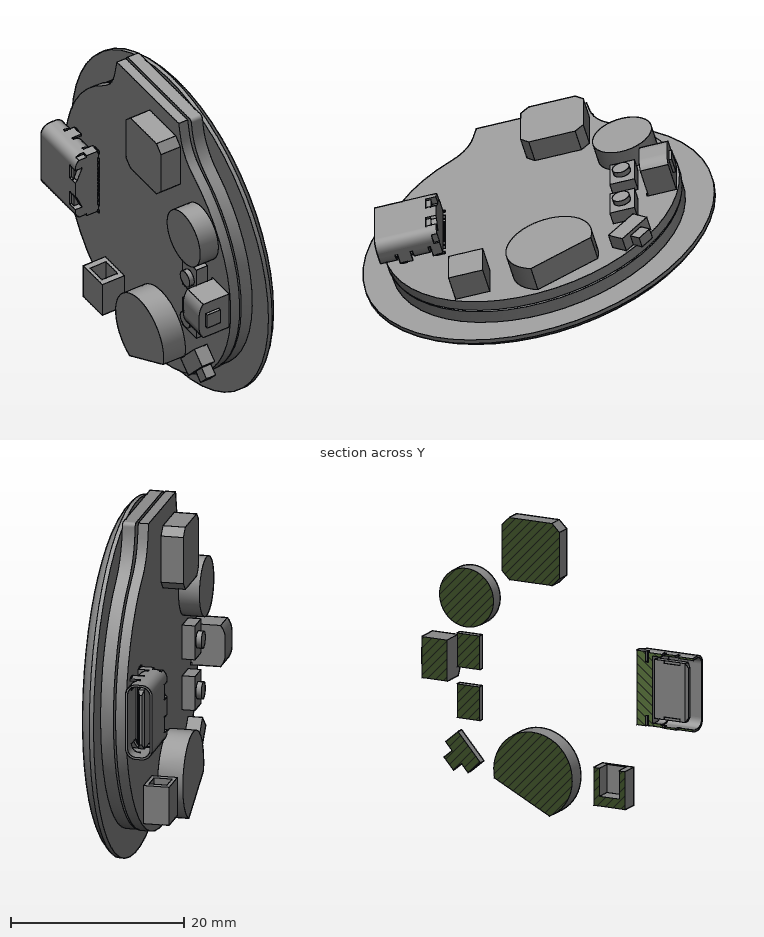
import cadquery as cq
import math


BOARD_THICK = 1.2
BOARD_GAP = 0.3
DISPLAY_THICK = 1.5
GLASS_THICK = 1.98
GLASS_RIM = 0.5
DISPLAY_FRONT = BOARD_THICK + BOARD_GAP
GLASS_FRONT = DISPLAY_FRONT + DISPLAY_THICK

GLASS_RADIUS = 21.05
GLASS_EDGE_WIDTH = 3.2
NECK_TOP = 20.5
DISPLAY_RADIUS = 17.6
DISPLAY_NECK_FILLET = 7.5
DISPLAY_CORNER_RADIUS = 0.5
BOARD_RADIUS = 17.72
BOARD_NECK_FILLET = 5.98
BOARD_NECK_HALF_WIDTH = 6.6
BOARD_FILLET_CENTRE_Z = 19.9
SHORTEST_SIDE = 0.005

CHIP_SIZE = 7.5
CHIP_CHAMFER = 0.95
CHIP_HEIGHT = 2.65
CHIP_CENTRE = (3.2, 14.5)

CAN_RADIUS = 3.55
CAN_HEIGHT = 2.5
CAN_CENTRE = (11.55, 7.87)

BUTTON_WIDTH = 2.95
BUTTON_LENGTH = 4.1
BUTTON_HEIGHT = 1.5
BUTTON_CAP_RADIUS = 1.0
BUTTON_CAP_HEIGHT = 0.65
BUTTON_X = 11.3
BUTTON_ZS = (1.47, -4.65)

BUZZER_RADIUS = 5.15
BUZZER_HEIGHT = 3.0
BUZZER_CENTRE = (2.9, -12.25)
BUZZER_FLAT_DISTANCE = 3.2
BUZZER_FLAT_ANGLE = -63.0

HEADER_WIDTH = 4.1
HEADER_LENGTH = 4.6
HEADER_HEIGHT = 3.05
HEADER_CENTRE = (-7.05, -12.6)
SOCKET_WIDTH = 2.5
SOCKET_HEIGHT = 2.15
SOCKET_DEPTH = 3.35

SWITCH_LENGTH = 4.45
SWITCH_WIDTH = 2.2
SWITCH_HEIGHT = 1.73
SWITCH_CENTRE = (12.0, -10.7)
SWITCH_ANGLE = -41.0
SLIDER_LENGTH = 1.9
SLIDER_REACH = 1.4
SLIDER_HEIGHT = 1.25

JACK_LEFT = 14.0
JACK_RIGHT = 17.35
JACK_HALF_WIDTH = 2.5
JACK_HEIGHT = 4.1
JACK_SIDE_HEIGHT = 3.55
JACK_FLAT_HALF_WIDTH = 0.95
JACK_NOSE_REACH = 0.35
JACK_NOSE_LOW = 1.4
JACK_NOSE_HIGH = 3.2
JACK_FOOT = 0.15
JACK_FOOT_WIDTH = 0.3

USB_FRONT = -17.95
USB_REAR = -10.55
USB_WIDTH = 8.95
USB_HEIGHT = 3.15
USB_CORNER = 1.25
USB_WALL = 0.25
USB_CORE_LENGTH = 2.1
USB_COLLAR_LENGTH = 1.05
USB_COLLAR_WALL = 0.38
TONGUE_SETBACK = 0.93
TONGUE_THICK = 0.7
TONGUE_WIDTH = 7.07
TONGUE_TIP_WIDTH = 5.98
TONGUE_TIP_THICK = 0.3
TONGUE_TIP_LENGTH = 0.35
CORNER_CUTS = ((-16.0, -13.95), (-12.05, USB_REAR))
LEGS = ((-15.7, -14.2, USB_WALL), (-11.75, USB_REAR, USB_CORNER))
FEET = ((-15.45, -14.8), (-11.35, -10.3))
FOOT_THICK = 0.13
FOOT_HEIGHT = 0.1
WINDOW_FRONT = -11.8
WINDOW_RAMP_FRONT = -11.25
WINDOW_INNER = 1.05
WINDOW_OUTER = 2.9
WINDOW_RAMP_DEPTH = 0.93
NOTCH_LOW = 1.6
NOTCH_HIGH = 2.65
SIGNAL_PIN_COUNT = 8
SIGNAL_PIN_PITCH = 0.5
SIGNAL_PIN_WIDTH = 0.25
POWER_PIN_ZS = (-3.2, -2.4, 2.4, 3.2)
POWER_PIN_WIDTH = 0.6
PIN_REACH = 0.3
PIN_HEIGHT = 0.1


def facing(y):
    """Sketch plane at the given Y, looking along -Y: local x is X and local y is Z."""
    return cq.Workplane("XZ", origin=(0, y, 0))


def block(x_range, y_range, z_range):
    """Box between the given limits."""
    x0, x1 = x_range
    y0, y1 = y_range
    z0, z1 = z_range
    return cq.Workplane("XY").box(x1 - x0, y1 - y0, z1 - z0, centered=False).translate((x0, y0, z0))


def polar(radius, degrees):
    angle = math.radians(degrees)
    return radius * math.cos(angle), radius * math.sin(angle)


def shifted(point, offset):
    return point[0] + offset[0], point[1] + offset[1]


def necked_disc(radius, fillet, fillet_centre_z, neck_half_width, front, thickness):
    """Disc with a flat-topped neck that flows into the circle through a concave arc on each side."""
    reach = radius + fillet
    centre = (math.sqrt(reach**2 - fillet_centre_z**2), fillet_centre_z)
    joint = (centre[0] * radius / reach, centre[1] * radius / reach)
    corner = (neck_half_width, NECK_TOP)
    to_corner = (corner[0] - centre[0], corner[1] - centre[1])
    corner_distance = math.hypot(*to_corner)
    tangent_turn = math.acos(min(1.0, fillet / corner_distance))
    start_angle = math.atan2(to_corner[1], to_corner[0]) % (2 * math.pi) + tangent_turn
    end_angle = math.atan2(-centre[1], -centre[0]) % (2 * math.pi)
    start = shifted(centre, polar(fillet, math.degrees(start_angle)))
    middle = shifted(centre, polar(fillet, math.degrees((start_angle + end_angle) / 2)))

    def mirrored(point):
        return -point[0], point[1]

    outline = facing(front + thickness).moveTo(*mirrored(corner)).lineTo(*corner)
    if math.dist(corner, start) > SHORTEST_SIDE:
        outline = outline.lineTo(*start)
    else:
        start = corner
    return (
        outline.threePointArc(middle, joint)
        .threePointArc((0, -radius), mirrored(joint))
        .threePointArc(mirrored(middle), mirrored(start))
        .close()
        .extrude(thickness)
    )


def make_glass():
    """Cover glass: a thin rim and a rounded border that runs into the flat back."""
    drop = GLASS_THICK - GLASS_RIM
    arc_radius = (GLASS_EDGE_WIDTH**2 + drop**2) / (2 * drop)
    half_angle = math.asin(GLASS_EDGE_WIDTH / arc_radius) / 2
    flat_radius = GLASS_RADIUS - GLASS_EDGE_WIDTH
    back = GLASS_FRONT + GLASS_THICK
    arc_middle = (
        flat_radius + arc_radius * math.sin(half_angle),
        back - arc_radius * (1 - math.cos(half_angle)),
    )
    return (
        cq.Workplane("XY")
        .moveTo(0, GLASS_FRONT)
        .lineTo(GLASS_RADIUS, GLASS_FRONT)
        .lineTo(GLASS_RADIUS, GLASS_FRONT + GLASS_RIM)
        .threePointArc(arc_middle, (flat_radius, back))
        .lineTo(0, back)
        .close()
        .revolve(360, (0, 0, 0), (0, 1, 0))
    )


def make_display():
    """Display: the sides of its neck start vertical, and the neck's top corners are rounded."""
    half_width = math.sqrt((DISPLAY_RADIUS + DISPLAY_NECK_FILLET) ** 2 - NECK_TOP**2) - DISPLAY_NECK_FILLET
    disc = necked_disc(
        DISPLAY_RADIUS, DISPLAY_NECK_FILLET, NECK_TOP, half_width, DISPLAY_FRONT, DISPLAY_THICK
    )
    return disc.edges("|Y").edges(">Z").fillet(DISPLAY_CORNER_RADIUS)


def make_chip():
    body = facing(0).center(*CHIP_CENTRE).rect(CHIP_SIZE, CHIP_SIZE).extrude(CHIP_HEIGHT)
    return body.edges("|Y").chamfer(CHIP_CHAMFER)


def make_can():
    return facing(0).center(*CAN_CENTRE).circle(CAN_RADIUS).extrude(CAN_HEIGHT)


def make_button(z):
    body = facing(0).center(BUTTON_X, z).rect(BUTTON_WIDTH, BUTTON_LENGTH).extrude(BUTTON_HEIGHT)
    cap = facing(0).center(BUTTON_X, z).circle(BUTTON_CAP_RADIUS)
    return body.union(cap.extrude(BUTTON_HEIGHT + BUTTON_CAP_HEIGHT))


def make_buzzer():
    """Round buzzer with one flat side."""
    half_chord = math.degrees(math.acos(BUZZER_FLAT_DISTANCE / BUZZER_RADIUS))
    return (
        facing(0)
        .center(*BUZZER_CENTRE)
        .moveTo(*polar(BUZZER_RADIUS, BUZZER_FLAT_ANGLE - half_chord))
        .lineTo(*polar(BUZZER_RADIUS, BUZZER_FLAT_ANGLE + half_chord))
        .threePointArc(
            polar(BUZZER_RADIUS, BUZZER_FLAT_ANGLE + 180),
            polar(BUZZER_RADIUS, BUZZER_FLAT_ANGLE - half_chord),
        )
        .close()
        .extrude(BUZZER_HEIGHT)
    )


def make_header():
    """Header with a square socket that opens toward +Z."""
    body = facing(0).center(*HEADER_CENTRE).rect(HEADER_WIDTH, HEADER_LENGTH).extrude(HEADER_HEIGHT)
    socket = cq.Workplane("XY").box(SOCKET_WIDTH, SOCKET_HEIGHT, SOCKET_DEPTH)
    top = HEADER_CENTRE[1] + HEADER_LENGTH / 2
    return body.cut(socket.translate((HEADER_CENTRE[0], -HEADER_HEIGHT / 2, top - SOCKET_DEPTH / 2)))


def make_switch():
    """Slide switch, turned so that its slider points outward over the edge of the board."""
    plane = facing(0).center(*SWITCH_CENTRE).transformed(rotate=(0, 0, SWITCH_ANGLE))
    body = plane.rect(SWITCH_WIDTH, SWITCH_LENGTH).extrude(SWITCH_HEIGHT)
    slider_span = SWITCH_WIDTH / 2 + SLIDER_REACH
    slider = plane.center(slider_span / 2, 0).rect(slider_span, SLIDER_LENGTH)
    return body.union(slider.extrude(SLIDER_HEIGHT))


def make_jack():
    """Jack with arched front corners, a square nose toward +X and two feet toward -X."""
    drop = JACK_HEIGHT - JACK_SIDE_HEIGHT
    run = JACK_HALF_WIDTH - JACK_FLAT_HALF_WIDTH
    arc_radius = (run**2 + drop**2) / (2 * drop)
    half_angle = math.asin(run / arc_radius) / 2
    arc_z = JACK_FLAT_HALF_WIDTH + arc_radius * math.sin(half_angle)
    arc_y = -JACK_HEIGHT + arc_radius * (1 - math.cos(half_angle))
    jack = (
        cq.Workplane("YZ", origin=(JACK_LEFT, 0, 0))
        .moveTo(0, -JACK_HALF_WIDTH)
        .lineTo(-JACK_SIDE_HEIGHT, -JACK_HALF_WIDTH)
        .threePointArc((arc_y, -arc_z), (-JACK_HEIGHT, -JACK_FLAT_HALF_WIDTH))
        .lineTo(-JACK_HEIGHT, JACK_FLAT_HALF_WIDTH)
        .threePointArc((arc_y, arc_z), (-JACK_SIDE_HEIGHT, JACK_HALF_WIDTH))
        .lineTo(0, JACK_HALF_WIDTH)
        .close()
        .extrude(JACK_RIGHT - JACK_LEFT)
    )
    nose = block(
        (JACK_RIGHT, JACK_RIGHT + JACK_NOSE_REACH),
        (-JACK_NOSE_HIGH, -JACK_NOSE_LOW),
        (-JACK_FLAT_HALF_WIDTH, JACK_FLAT_HALF_WIDTH),
    )
    foot = block(
        (JACK_LEFT - JACK_FOOT, JACK_LEFT),
        (-JACK_FOOT, 0),
        (JACK_HALF_WIDTH - JACK_FOOT_WIDTH, JACK_HALF_WIDTH),
    )
    return jack.union(nose).union(foot).union(foot.mirror("XY"))


def make_board():
    """Circuit board together with the plain parts soldered to it."""
    board = necked_disc(
        BOARD_RADIUS, BOARD_NECK_FILLET, BOARD_FILLET_CENTRE_Z, BOARD_NECK_HALF_WIDTH, 0, BOARD_THICK
    )
    parts = [make_chip(), make_can(), make_buzzer(), make_header(), make_switch(), make_jack()]
    parts += [make_button(z) for z in BUTTON_ZS]
    for part in parts:
        board = board.union(part)
    return board


def usb_section(inset, x_front, x_rear):
    """Rounded-rectangle bar along X, inset on all sides from the outside of the connector."""
    bar = block(
        (x_front, x_rear),
        (inset - USB_HEIGHT, -inset),
        (inset - USB_WIDTH / 2, USB_WIDTH / 2 - inset),
    )
    return bar.edges("|X").fillet(USB_CORNER - inset)


def make_tongue():
    """Contact tongue that starts in the core and ends in a tapered tip."""
    tip_base = USB_FRONT + TONGUE_SETBACK + TONGUE_TIP_LENGTH
    plane = cq.Workplane("YZ", origin=(tip_base, -USB_HEIGHT / 2, 0))
    bar = plane.rect(TONGUE_THICK, TONGUE_WIDTH).extrude(USB_REAR - USB_CORE_LENGTH - tip_base)
    tip = (
        plane.rect(TONGUE_THICK, TONGUE_WIDTH)
        .workplane(offset=-TONGUE_TIP_LENGTH)
        .rect(TONGUE_TIP_THICK, TONGUE_TIP_WIDTH)
        .loft()
    )
    return bar.union(tip)


def cut_usb_side(usb):
    """Open the lower corner on the +Z side around the legs, and notch the rear of that side."""
    side = USB_WIDTH / 2
    for x_range in CORNER_CUTS:
        usb = usb.cut(block(x_range, (-USB_CORNER, 0), (side - USB_CORNER, side)))
    notch = block((WINDOW_RAMP_FRONT, USB_REAR), (-NOTCH_HIGH, -NOTCH_LOW), (side - USB_WALL, side))
    return usb.cut(notch)


def add_usb_legs(usb):
    """Straight legs down to the board on the +Z side, each with a small outward foot."""
    side = USB_WIDTH / 2
    for x_front, x_rear, thickness in LEGS:
        usb = usb.union(block((x_front, x_rear), (-USB_CORNER, 0), (side - thickness, side)))
    for x_range in FEET:
        usb = usb.union(block(x_range, (-FOOT_HEIGHT, 0), (side - USB_WALL, side + FOOT_THICK)))
    return usb


def rear_window():
    """Window in the front wall at the rear of the +Z half: a flat floor, then a ramp."""
    flat = block(
        (WINDOW_FRONT, WINDOW_RAMP_FRONT),
        (-USB_HEIGHT, USB_WALL - USB_HEIGHT),
        (WINDOW_INNER, WINDOW_OUTER),
    )
    ramp = (
        cq.Workplane("YZ", origin=(WINDOW_RAMP_FRONT, 0, 0))
        .polyline(
            [
                (-USB_HEIGHT, WINDOW_INNER),
                (USB_WALL - USB_HEIGHT, WINDOW_INNER + USB_WALL),
                (WINDOW_RAMP_DEPTH - USB_HEIGHT, WINDOW_OUTER),
                (-USB_HEIGHT, WINDOW_OUTER),
            ]
        )
        .close()
        .extrude(USB_REAR - WINDOW_RAMP_FRONT)
    )
    return flat.union(ramp)


def usb_pin(z, width):
    """Flat pin that lies on the board and sticks out behind the core."""
    x_range = (USB_REAR - PIN_REACH, USB_REAR + PIN_REACH)
    return block(x_range, (-PIN_HEIGHT, 0), (z - width / 2, z + width / 2))


def make_usb():
    """USB connector: a hollow shell with a collared rear core, a tongue, legs and a row of pins."""
    usb = usb_section(0, USB_FRONT, USB_REAR)
    core_front = USB_REAR - USB_CORE_LENGTH
    usb = usb.cut(usb_section(USB_WALL, USB_FRONT, core_front - USB_COLLAR_LENGTH))
    usb = usb.cut(usb_section(USB_COLLAR_WALL, USB_FRONT, core_front))
    usb = usb.union(make_tongue())
    window = rear_window()
    usb = usb.cut(window).cut(window.mirror("XY"))
    for _ in range(2):
        usb = add_usb_legs(cut_usb_side(usb)).mirror("XY")
    for i in range(SIGNAL_PIN_COUNT):
        z = (i - (SIGNAL_PIN_COUNT - 1) / 2) * SIGNAL_PIN_PITCH
        usb = usb.union(usb_pin(z, SIGNAL_PIN_WIDTH))
    for z in POWER_PIN_ZS:
        usb = usb.union(usb_pin(z, POWER_PIN_WIDTH))
    return usb


glass = make_glass()
display = make_display()
board = make_board()
usb = make_usb()

bodies = [glass, display, board, usb]
result = cq.Compound.makeCompound([body.solids().val() for body in bodies])